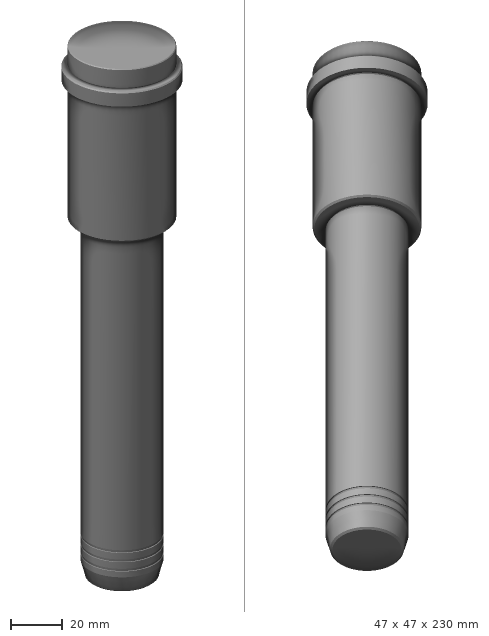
import cadquery as cq
import math

total_length = 230
body_diameter = 42.0
body_radius = body_diameter / 2
body_length = 75.0
body_top_chamfer = 0.35
body_bottom_chamfer = 0.7
flange_radius = 23.5
flange_top_drop = 8.7
flange_height = 6.2
flange_chamfer = 0.5
shaft_radius = 16.0

nose_length = 7.4
nose_angle = 15
nose_chamfer = 0.7

relief_width = 1.2
upper_relief_width = 0.7
relief_depth = 0.7

ring_groove_count = 3
ring_groove_span = 8.0
ring_groove_pitch = ring_groove_span / (ring_groove_count - 1)
ring_groove_width = 1.2
ring_groove_depth = 0.5
first_ring_groove_height = 10.0

body_bottom = total_length - body_length
flange_top = total_length - flange_top_drop
flange_bottom = flange_top - flange_height


def cylinder(radius, bottom, height):
    return cq.Workplane("XY").workplane(offset=bottom).circle(radius).extrude(height)


def groove_ring(surface_radius, bottom, width, depth):
    """Ring of material to remove from a cylinder of the given radius."""
    return (
        cq.Workplane("XY")
        .workplane(offset=bottom)
        .circle(surface_radius + depth)
        .circle(surface_radius - depth)
        .extrude(width)
    )


def make_nose():
    tip_radius = shaft_radius - nose_length * math.tan(math.radians(nose_angle))
    cone = (
        cq.Workplane("XZ")
        .lineTo(tip_radius, 0)
        .lineTo(shaft_radius, nose_length)
        .lineTo(0, nose_length)
        .close()
        .revolve(360, (0, 0, 0), (0, 1, 0))
    )
    return cone.faces("<Z").edges().chamfer(nose_chamfer)


def make_shaft():
    shaft = cylinder(shaft_radius, nose_length, body_bottom - nose_length)
    for index in range(ring_groove_count):
        bottom = first_ring_groove_height + index * ring_groove_pitch
        shaft = shaft.cut(groove_ring(shaft_radius, bottom, ring_groove_width, ring_groove_depth))
    return shaft.cut(groove_ring(shaft_radius, body_bottom - relief_width, relief_width, relief_depth))


def make_body():
    body = cylinder(body_radius, body_bottom, body_length)
    body = body.faces(">Z").edges().chamfer(body_top_chamfer)
    body = body.faces("<Z").edges().chamfer(body_bottom_chamfer)
    body = body.cut(groove_ring(body_radius, flange_top, upper_relief_width, relief_depth))
    return body.cut(groove_ring(body_radius, flange_bottom - relief_width, relief_width, relief_depth))


def make_flange():
    flange = cylinder(flange_radius, flange_bottom, flange_height)
    return flange.faces(">Z").edges().chamfer(flange_chamfer)


result = make_nose().union(make_shaft()).union(make_body()).union(make_flange())